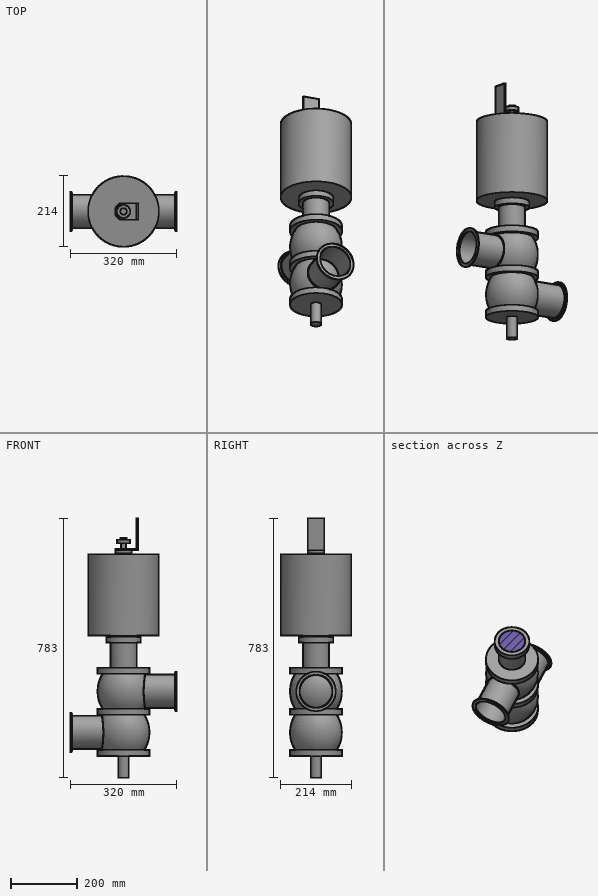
import cadquery as cq

TOTAL_HEIGHT = 783.0
FLANGE_THICKNESS = 19.0
LOWER_FLANGE_Z = 66.0
CHAMBER_PITCH = 124.0
NECK_BOTTOM_Z = LOWER_FLANGE_Z + 2 * CHAMBER_PITCH + FLANGE_THICKNESS
COLLAR_Z = 407.0
COLLAR_THICKNESS = 18.0
ACTUATOR_BOTTOM_Z = 428.5
ACTUATOR_TOP_Z = 674.5
JOINT_Z = 677.5

STEM_DIAMETER = 32.0
FLANGE_DIAMETER = 157.5
CHAMBER_END_DIAMETER = 127.0
NECK_DIAMETER = 80.0
COLLAR_DIAMETER = 105.0
ACTUATOR_DIAMETER = 214.0
BOSS_DIAMETER = 50.0

PORT_SPAN = 320.0
PORT_REACH = PORT_SPAN / 2
PIPE_DIAMETER = 102.0
BORE_DIAMETER = 98.0
FERRULE_DIAMETER = 119.0
FERRULE_ROOT_DIAMETER = 108.0
FERRULE_RIM_THICKNESS = 3.0
FERRULE_THICKNESS = 5.5

PLATE_THICKNESS = 5.0
PLATE_CHAMFER = 15.0
PLATE_BOTTOM_Z = 686.0
PLATE_TOP_Z = PLATE_BOTTOM_Z + PLATE_THICKNESS
BRACKET_OUTER_X = 44.0
SPINDLE_DIAMETER = 16.0
KNOB_DIAMETER = 40.0
KNOB_BOTTOM_Z = 706.5
KNOB_TOP_Z = 718.0
CAP_DIAMETER = 19.5
CAP_TOP_Z = 724.0


def disc(diameter, bottom_z, top_z):
    """Cylinder on the vertical axis between two levels."""
    return cq.Workplane("XY").workplane(offset=bottom_z).circle(diameter / 2).extrude(top_z - bottom_z)


def ball_chamber(bottom_z, top_z):
    """Solid barrel between two flanges, bulging to the flange diameter halfway up."""
    middle_z = (bottom_z + top_z) / 2
    end_radius = CHAMBER_END_DIAMETER / 2
    return (
        cq.Workplane("XZ")
        .moveTo(0, bottom_z)
        .lineTo(end_radius, bottom_z)
        .threePointArc((FLANGE_DIAMETER / 2, middle_z), (end_radius, top_z))
        .lineTo(0, top_z)
        .close()
        .revolve(360, (0, 0, 0), (0, 1, 0))
    )


def port(center_z, direction):
    """Tube from the chamber to a tapered ferrule; direction is +1 or -1 along X."""
    bore_radius = BORE_DIAMETER / 2
    rim_back = PORT_REACH - FERRULE_RIM_THICKNESS
    ferrule_back = PORT_REACH - FERRULE_THICKNESS
    tube = (
        cq.Workplane("XY")
        .moveTo(0, bore_radius)
        .lineTo(PORT_REACH, bore_radius)
        .lineTo(PORT_REACH, FERRULE_DIAMETER / 2)
        .lineTo(rim_back, FERRULE_DIAMETER / 2)
        .lineTo(ferrule_back, FERRULE_ROOT_DIAMETER / 2)
        .lineTo(ferrule_back, PIPE_DIAMETER / 2)
        .lineTo(0, PIPE_DIAMETER / 2)
        .close()
        .revolve(360, (0, 0, 0), (1, 0, 0))
    )
    if direction < 0:
        tube = tube.mirror("YZ")
    return tube.translate((0, 0, center_z))


def make_valve():
    """Lower stem, two ported chambers, neck and actuator as one solid."""
    valve = disc(STEM_DIAMETER, 0, LOWER_FLANGE_Z)
    for level in range(3):
        flange_z = LOWER_FLANGE_Z + level * CHAMBER_PITCH
        valve = valve.union(disc(FLANGE_DIAMETER, flange_z, flange_z + FLANGE_THICKNESS))

    for level, direction in enumerate((-1, 1)):
        chamber_bottom = LOWER_FLANGE_Z + FLANGE_THICKNESS + level * CHAMBER_PITCH
        chamber_top = chamber_bottom + CHAMBER_PITCH - FLANGE_THICKNESS
        valve = valve.union(ball_chamber(chamber_bottom, chamber_top))
        valve = valve.union(port((chamber_bottom + chamber_top) / 2, direction))

    valve = valve.union(disc(NECK_DIAMETER, NECK_BOTTOM_Z, ACTUATOR_BOTTOM_Z))
    valve = valve.union(disc(COLLAR_DIAMETER, COLLAR_Z, COLLAR_Z + COLLAR_THICKNESS))
    valve = valve.union(disc(ACTUATOR_DIAMETER, ACTUATOR_BOTTOM_Z, ACTUATOR_TOP_Z))
    return valve.union(disc(BOSS_DIAMETER, ACTUATOR_TOP_Z, JOINT_Z))


def make_indicator():
    """Angle bracket with chamfered corners on a round foot, with a knob on a spindle, as one solid."""
    foot = disc(BOSS_DIAMETER, JOINT_Z, PLATE_BOTTOM_Z)
    plate_length = BRACKET_OUTER_X + BOSS_DIAMETER / 2
    plate = (
        cq.Workplane("XY")
        .box(plate_length, BOSS_DIAMETER, PLATE_THICKNESS, centered=(False, True, False))
        .edges("|Z and <X")
        .chamfer(PLATE_CHAMFER)
        .translate((-BOSS_DIAMETER / 2, 0, PLATE_BOTTOM_Z))
    )
    upright = cq.Workplane("XY").box(
        PLATE_THICKNESS, BOSS_DIAMETER, TOTAL_HEIGHT - PLATE_BOTTOM_Z, centered=(False, True, False)
    ).translate((BRACKET_OUTER_X - PLATE_THICKNESS, 0, PLATE_BOTTOM_Z))
    spindle = disc(SPINDLE_DIAMETER, PLATE_TOP_Z, KNOB_BOTTOM_Z)
    knob = disc(KNOB_DIAMETER, KNOB_BOTTOM_Z, KNOB_TOP_Z)
    cap = disc(CAP_DIAMETER, KNOB_TOP_Z, CAP_TOP_Z)
    return foot.union(plate).union(upright).union(spindle).union(knob).union(cap)


valve = make_valve()
indicator = make_indicator()

result = cq.Compound.makeCompound([valve.solids().val(), indicator.solids().val()])